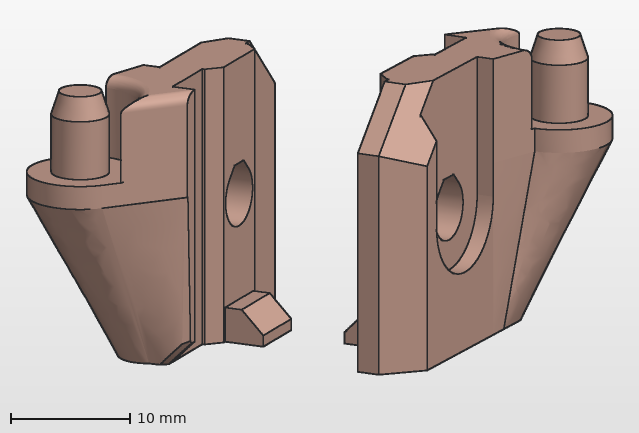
import cadquery as cq
import math

height = 24.0
length = 29.0

collar_radius = 4.5
collar_bottom = 14.95
collar_top = 16.96
pin_radius = 4.9 / 2
pin_tip_radius = 1.8
pin_taper_height = 2.0
recess_radius = 4.8
edge_round = 1.0

plate_left = 1.48
plate_right = 6.47
plate_front = 9.25
plate_back = length - collar_radius
side_chamfer = 3.02
top_chamfer = 5.0

feature_y = 14.5
hole_z = 12.04
hole_radius = 2.65
hole_flat_height = 2.85
pocket_radius = feature_y - plate_front
pocket_depth = 1.5
pad_thickness = 1.4
pad_half_width = 4.23
pad_lip = 0.2
foot_half_width = 2.75
foot_right = 11.4
foot_height = 3.0
foot_chamfer = 2.0

wing_right = 8.5
wing_front = 3.02
wing_back = 4.4
wing_bottom_chamfer = 2.03
wing_edge_bevel = 0.44
toe_front = 3.13
toe_back = 4.2
toe_right = 4.9
toe_arc_middle = (2.32, 3.3)
seam_bottom_y = 7.3
tip_bevel_top = (0.17, 0.2)
tip_bevel_bottom = (0.65, 0.45)
tip_bottom_y = 3.48


def collar_point(angle):
    return (collar_radius * math.cos(angle), collar_radius * math.sin(angle))


def tangent_angle(point):
    """Polar angle where a line from point touches the front of the collar."""
    distance = math.hypot(point[0], point[1])
    return math.atan2(point[1], point[0]) - math.acos(collar_radius / distance)


right_angle = tangent_angle((wing_right, wing_front))
right_tangent = collar_point(right_angle)
collar_front_middle = collar_point((right_angle - math.pi) / 2)
collar_back_middle = collar_point(0.75 * math.pi)


def corner_triangle(x, setback):
    """Section of the 45 degree cut across the back top corner of the plate."""
    return (
        cq.Workplane("YZ", origin=(x, 0, 0))
        .polyline([
            (plate_back, height - setback),
            (plate_back, height),
            (plate_back - setback, height),
        ])
        .close()
        .wire()
        .val()
    )


def make_plate():
    pad_right = plate_right + pad_thickness
    pad_slope = pad_thickness - pad_lip
    pad_low = feature_y - pad_half_width
    pad_high = feature_y + pad_half_width
    plate = (
        cq.Workplane("XY")
        .polyline([
            (plate_left, plate_front),
            (plate_right, plate_front),
            (plate_right, pad_low),
            (plate_right + pad_lip, pad_low),
            (pad_right, pad_low + pad_slope),
            (pad_right, pad_high - pad_slope),
            (plate_right + pad_lip, pad_high),
            (plate_right, pad_high),
            (plate_right, plate_back),
            (plate_left + side_chamfer, plate_back),
            (plate_left, plate_back - side_chamfer),
        ])
        .close()
        .extrude(height)
    )
    chamfer_turn = plate_left + side_chamfer
    wide_setback = top_chamfer + math.sqrt(2) * side_chamfer
    left_end = corner_triangle(plate_left, wide_setback)
    turn = corner_triangle(chamfer_turn, top_chamfer)
    right_end = corner_triangle(foot_right, top_chamfer)
    sloped_corner = cq.Solid.makeLoft([left_end, turn], True)
    straight_corner = cq.Solid.makeLoft([turn, right_end], True)
    return plate.cut(cq.Workplane(sloped_corner)).cut(cq.Workplane(straight_corner))


def make_foot():
    return (
        cq.Workplane("XZ", origin=(0, feature_y, 0))
        .polyline([
            (plate_right, 0),
            (foot_right, 0),
            (foot_right, foot_height - foot_chamfer),
            (foot_right - foot_chamfer, foot_height),
            (plate_right, foot_height),
        ])
        .close()
        .extrude(foot_half_width, both=True)
    )


def make_upper_arm():
    """Wall behind the pin, with its slanted front top edge rounded."""
    edge_middle = (
        (wing_right + right_tangent[0]) / 2,
        (wing_front + right_tangent[1]) / 2,
        height,
    )
    wall = (
        cq.Workplane("XY", origin=(0, 0, collar_bottom))
        .polyline([
            (plate_left, plate_front),
            (0, collar_radius),
            (0, 0),
            right_tangent,
            (wing_right, wing_front),
            (wing_right, wing_back),
            (plate_right, wing_back),
            (plate_right, plate_front),
        ])
        .close()
        .extrude(height - collar_bottom)
        .edges(cq.selectors.NearestToPointSelector(edge_middle))
        .fillet(edge_round)
    )
    inset = edge_round * (1 - math.sqrt(0.5))
    recess = (
        cq.Workplane("XZ")
        .moveTo(0, collar_top)
        .lineTo(recess_radius, collar_top)
        .lineTo(recess_radius, height - edge_round)
        .threePointArc(
            (recess_radius + inset, height - inset),
            (recess_radius + edge_round, height),
        )
        .lineTo(0, height)
        .close()
        .revolve(360, (0, 0), (0, 1))
    )
    return wall.cut(recess)


def close_arm_section(outline, arc_middle, arc_end, tip_y, bevel):
    """Finish an arm outline from its left side, around the front and back to the plate."""
    return (
        outline
        .threePointArc(arc_middle, arc_end)
        .lineTo(wing_right - bevel[0], tip_y - bevel[1] / 2)
        .lineTo(wing_right, tip_y + bevel[1] / 2)
        .lineTo(wing_right, wing_back)
        .lineTo(plate_right, wing_back)
        .lineTo(plate_right, plate_front)
        .close()
        .wire()
        .val()
    )


def make_lower_arm():
    """Tapering support that narrows from the collar to the toe."""
    toe_left_side = (
        cq.Workplane("XY")
        .moveTo(plate_left, plate_front)
        .lineTo(plate_left, seam_bottom_y)
        .lineTo(plate_left, toe_back)
    )
    toe = close_arm_section(
        toe_left_side, toe_arc_middle, (toe_right, toe_front), tip_bottom_y, tip_bevel_bottom
    )
    top_left_side = (
        cq.Workplane("XY", origin=(0, 0, collar_bottom))
        .moveTo(plate_left, plate_front)
        .lineTo(0, collar_radius)
        .threePointArc(collar_back_middle, (-collar_radius, 0))
    )
    top = close_arm_section(
        top_left_side, collar_front_middle, right_tangent, wing_front, tip_bevel_top
    )
    arm = cq.Workplane(cq.Solid.makeLoft([toe, top], True))
    corner = (
        cq.Workplane("XZ")
        .polyline([
            (wing_right - wing_bottom_chamfer, 0),
            (wing_right, 0),
            (wing_right, wing_bottom_chamfer),
        ])
        .close()
        .extrude(-plate_front)
    )
    edge_middle = (
        wing_right - wing_bottom_chamfer / 2,
        tip_bottom_y,
        wing_bottom_chamfer / 2,
    )
    return (
        arm.cut(corner)
        .edges(cq.selectors.NearestToPointSelector(edge_middle))
        .chamfer(wing_edge_bevel)
    )


def make_collar_and_pin():
    collar = (
        cq.Workplane("XY", origin=(0, 0, collar_bottom))
        .circle(collar_radius)
        .extrude(collar_top - collar_bottom)
    )
    pin = (
        cq.Workplane("XZ")
        .polyline([
            (0, collar_bottom),
            (pin_radius, collar_bottom),
            (pin_radius, height - pin_taper_height),
            (pin_tip_radius, height),
            (0, height),
        ])
        .close()
        .revolve(360, (0, 0), (0, 1))
    )
    return collar.union(pin)


def make_pocket():
    """Round-bottomed pocket in the left face, open at the top."""
    return (
        cq.Workplane("YZ", origin=(plate_left, 0, 0))
        .moveTo(feature_y - pocket_radius, height)
        .lineTo(feature_y - pocket_radius, hole_z)
        .threePointArc((feature_y, hole_z - pocket_radius), (feature_y + pocket_radius, hole_z))
        .lineTo(feature_y + pocket_radius, height)
        .close()
        .extrude(pocket_depth)
    )


def make_hole():
    """Through hole with a 45 degree teardrop roof cut off flat."""
    tangent = hole_radius * math.sqrt(0.5)
    flat_half = hole_radius * math.sqrt(2) - hole_flat_height
    return (
        cq.Workplane("YZ")
        .moveTo(feature_y - tangent, hole_z + tangent)
        .threePointArc((feature_y, hole_z - hole_radius), (feature_y + tangent, hole_z + tangent))
        .lineTo(feature_y + flat_half, hole_z + hole_flat_height)
        .lineTo(feature_y - flat_half, hole_z + hole_flat_height)
        .close()
        .extrude(foot_right)
    )


result = (
    make_plate()
    .union(make_foot())
    .union(make_upper_arm())
    .union(make_lower_arm())
    .union(make_collar_and_pin())
    .cut(make_pocket())
    .cut(make_hole())
)